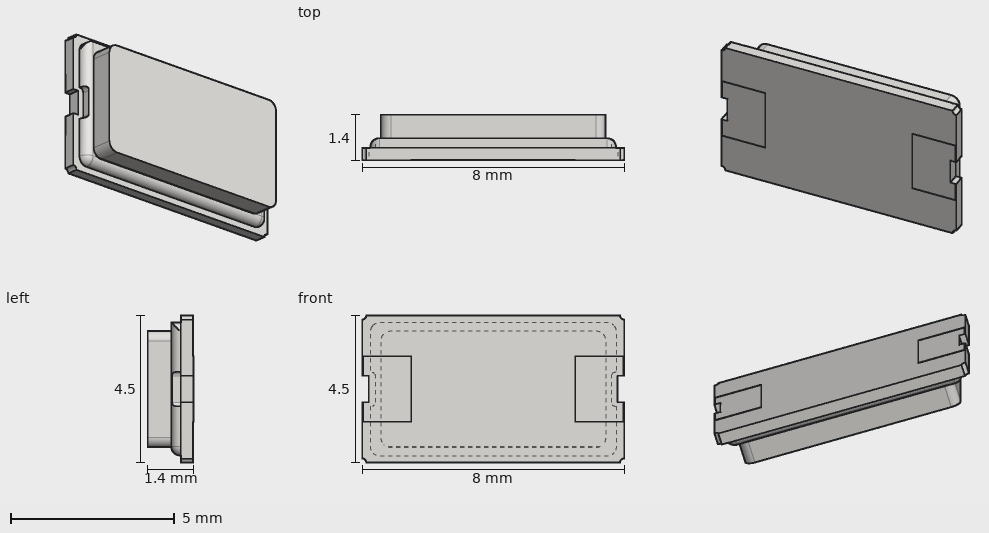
import cadquery as cq
LENGTH = 8.0
HEIGHT = 4.5
DEPTH = 1.4

PAD_THICKNESS = 0.01
BASE_THICKNESS = 0.38
FRAME_THICKNESS = 0.3
FRAME_FRONT = PAD_THICKNESS + BASE_THICKNESS
FRAME_BACK = FRAME_FRONT + FRAME_THICKNESS
CAP_THICKNESS = DEPTH - FRAME_BACK

CORNER_BITE_RADIUS = 0.13
NOTCH_DEPTH = 0.2
NOTCH_HEIGHT = 0.8

PAD_EDGE_GAP = 0.03
PAD_INNER_REACH = 1.5
PAD_HEIGHT = 2.0

FRAME_END_INSET = 0.25
FRAME_SIDE_INSET = 0.22
FRAME_LENGTH = LENGTH - 2 * FRAME_END_INSET
FRAME_HEIGHT = HEIGHT - 2 * FRAME_SIDE_INSET
FRAME_ROUND = 0.28
FRAME_NOTCH_FLOOR = LENGTH / 2 - 2 * NOTCH_DEPTH
FRAME_NOTCH_ROUND = 0.12
FRAME_NOTCH_HEIGHT = NOTCH_HEIGHT + 2 * FRAME_NOTCH_ROUND

CAP_END_INSET = 0.57
CAP_SIDE_INSET = 0.47
CAP_LENGTH = LENGTH - 2 * CAP_END_INSET
CAP_HEIGHT = HEIGHT - 2 * CAP_SIDE_INSET
CAP_CORNER_RADIUS = 0.3


def slab(length, height, y_front, thickness, x_center=0.0, z_center=0.0):
    """Rectangular block centred on (x_center, z_center), growing from y_front along +Y."""
    block = cq.Workplane("XY").box(length, thickness, height, centered=(True, False, True))
    return block.translate((x_center, y_front, z_center))


def make_base():
    plate = slab(LENGTH, HEIGHT, PAD_THICKNESS, BASE_THICKNESS)
    corner_bites = (
        cq.Workplane("XZ", origin=(0, PAD_THICKNESS, 0))
        .rect(LENGTH, HEIGHT, forConstruction=True)
        .vertices()
        .circle(CORNER_BITE_RADIUS)
        .extrude(-BASE_THICKNESS)
    )
    return plate.cut(corner_bites)


def make_pad(side):
    pad_length = PAD_INNER_REACH - PAD_EDGE_GAP
    x_center = side * (LENGTH / 2 - PAD_EDGE_GAP - pad_length / 2)
    return slab(pad_length, PAD_HEIGHT, 0, PAD_THICKNESS, x_center)


def make_terminal_notch(side):
    """Square notch through the base and pad at one end."""
    x_center = side * (LENGTH - NOTCH_DEPTH) / 2
    return slab(NOTCH_DEPTH, NOTCH_HEIGHT, 0, FRAME_FRONT, x_center)


def make_frame():
    """Frame with rounded ends and a rounded bottom edge; its top edge stays sharp.

    The block starts inside the base, which keeps its roundings clear of its hidden front edges.
    """
    reach = FRAME_BACK - PAD_THICKNESS
    block = slab(FRAME_LENGTH, FRAME_HEIGHT, PAD_THICKNESS, reach)

    lower_half = block.edges("|Y or >Y").fillet(FRAME_ROUND)
    lower_half = lower_half.intersect(slab(LENGTH, HEIGHT / 2, 0, DEPTH, 0, -HEIGHT / 4))

    rounded_outline = block.edges("|Y").fillet(FRAME_ROUND)
    rounded_ends = block.faces(">Y").edges("|Z").fillet(FRAME_ROUND)
    upper_half = rounded_outline.intersect(rounded_ends)
    upper_half = upper_half.intersect(slab(LENGTH, HEIGHT / 2, 0, DEPTH, 0, HEIGHT / 4))

    return lower_half.union(upper_half)


def make_frame_notch(side):
    """Notch in one end of the frame, with rounded inner corners."""
    notch_depth = LENGTH / 2 - FRAME_NOTCH_FLOOR
    x_center = side * (FRAME_NOTCH_FLOOR + notch_depth / 2)
    notch = slab(notch_depth, FRAME_NOTCH_HEIGHT, FRAME_FRONT, FRAME_THICKNESS, x_center)
    inner_face = "<X" if side > 0 else ">X"
    return notch.faces(inner_face).edges("|Y").fillet(FRAME_NOTCH_ROUND)


def make_cap():
    return slab(CAP_LENGTH, CAP_HEIGHT, FRAME_BACK, CAP_THICKNESS).edges("|Y").fillet(CAP_CORNER_RADIUS)


base = make_base()
frame = make_frame()
for end in (-1, 1):
    base = base.union(make_pad(end)).cut(make_terminal_notch(end))
    frame = frame.cut(make_frame_notch(end))

result = base.union(frame).union(make_cap())